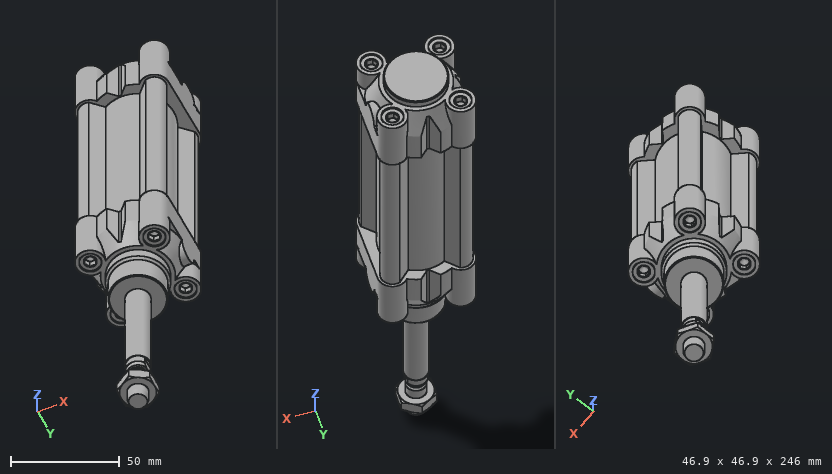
import cadquery as cq
import math


FRONT_COLLAR_END_Z = 79.7
FRONT_CAP_Z = 98.0
CAP_HEIGHT = 27.0
BARREL_HEIGHT = 90.3
REAR_DISC_HEIGHT = 3.7
BARREL_Z = FRONT_CAP_Z + CAP_HEIGHT
REAR_CAP_Z = BARREL_Z + BARREL_HEIGHT

POST_OFFSET = 16.35
CAP_POST_RADIUS = 7.1
CAP_HALF_WIDTH = POST_OFFSET + CAP_POST_RADIUS

BARREL_DRUM_DIAMETER = 36.5
BARREL_POST_RADIUS = 5.78
BARREL_ARM_WIDTH = 10.3

CAP_DRUM_RADIUS = CAP_HALF_WIDTH
CAP_END_RADIUS = 17.2
CAP_TAPER_HEIGHT = 11.5
NOTCH_FLOOR_RADIUS = 19.0
NOTCH_FLOOR_WIDTH = 1.2
CAP_EDGE_FILLET = 1.2

PORT_FACE_WIDTH = 2 * POST_OFFSET
PORT_BOSS_RADIUS = 6.5
PORT_BOSS_Y = 4.5

RECESS_DIAMETER = 10.3
RECESS_DEPTH = 1.0
SOCKET_MOUTH_DIAMETER = 6.2
SOCKET_MOUTH_DEPTH = 0.2
SOCKET_CORNER_DIAMETER = 6.0
SOCKET_DEPTH = 3.7
SOCKET_TIP_DEPTH = 1.5

COLLAR_DIAMETER = 30.0
DISC_EDGE_CHAMFER = 0.5
FRONT_COLLAR_HEIGHT = 5.0
FRONT_COLLAR_CHAMFER = 1.2
FRONT_NECK_DIAMETER = 27.5
FRONT_LIP_DIAMETER = 27.3
FRONT_LIP_STEP_Z = 83.5
FRONT_LIP_STEP_HEIGHT = 0.7
FRONT_LIP_CHAMFER = 0.5

ROD_DIAMETER = 12.0
ROD_SHOULDER_Z = 27.8
FLATS_DIAMETER = 11.5
FLATS_WIDTH = 9.8
FLATS_TOP_Z = 26.5
FLATS_END_Z = 21.6
FLATS_CHAMFER = 0.7
FLATS_CHAMFER_HEIGHT = 2.0
RELIEF_DIAMETER = 7.9
THREAD_DIAMETER = 10.0
THREAD_TOP_Z = 20.0
THREAD_TOP_CHAMFER = 1.0
TIP_DIAMETER = 8.5
TIP_CHAMFER_HEIGHT = 3.0

NUT_WIDTH = 17.0
NUT_HEIGHT = 6.2
NUT_Z = 7.1
NUT_CHAMFER_ANGLE = 25

POST_CENTRES = [(sx * POST_OFFSET, sy * POST_OFFSET) for sx in (-1, 1) for sy in (-1, 1)]


def cylinder(diameter, z_start, z_end):
    """Upright cylinder on the Z axis."""
    return cq.Workplane("XY").workplane(offset=z_start).circle(diameter / 2).extrude(z_end - z_start)


def revolved(profile):
    """Solid of revolution about Z from (radius, z) points."""
    return cq.Workplane("XZ").polyline(profile).close().revolve(360, (0, 0, 0), (0, 1, 0))


def make_barrel():
    """Round tube body with four round-ended arms along the diagonals."""
    barrel = cylinder(BARREL_DRUM_DIAMETER, BARREL_Z, REAR_CAP_Z)
    half_width = BARREL_ARM_WIDTH / 2
    post_distance = POST_OFFSET * math.sqrt(2)
    side_length = post_distance + math.sqrt(BARREL_POST_RADIUS**2 - half_width**2)
    arm = (
        cq.Workplane("XY")
        .workplane(offset=BARREL_Z)
        .moveTo(0, -half_width)
        .lineTo(side_length, -half_width)
        .threePointArc((post_distance + BARREL_POST_RADIUS, 0), (side_length, half_width))
        .lineTo(0, half_width)
        .close()
        .extrude(BARREL_HEIGHT)
    )
    for angle in (45, 135, 225, 315):
        barrel = barrel.union(arm.rotate((0, 0, 0), (0, 0, 1), angle))
    return barrel


def make_cap_drum():
    """Drum that tapers to the outer end, rounded where the taper starts."""
    taper_z = CAP_HEIGHT - CAP_TAPER_HEIGHT
    drum = revolved([
        (0, 0),
        (CAP_DRUM_RADIUS, 0),
        (CAP_DRUM_RADIUS, taper_z),
        (CAP_END_RADIUS, CAP_HEIGHT),
        (0, CAP_HEIGHT),
    ])
    taper_edge = drum.edges(cq.selectors.RadiusNthSelector(-1)).edges(">Z")
    return taper_edge.fillet(CAP_EDGE_FILLET)


def make_notch(angle):
    """Cutter for a 90 degree V notch with a narrow flat floor, on the side at this angle."""
    floor_half = NOTCH_FLOOR_WIDTH / 2
    mouth_half = floor_half + CAP_DRUM_RADIUS - NOTCH_FLOOR_RADIUS
    return (
        cq.Workplane("XY")
        .polyline([
            (NOTCH_FLOOR_RADIUS, -floor_half),
            (CAP_DRUM_RADIUS, -mouth_half),
            (CAP_DRUM_RADIUS, mouth_half),
            (NOTCH_FLOOR_RADIUS, floor_half),
        ])
        .close()
        .extrude(CAP_HEIGHT)
        .rotate((0, 0, 0), (0, 0, 1), angle)
    )


def make_port_face():
    """Flat +X face below the taper, with a round boss that rises into the taper."""
    face_height = CAP_HEIGHT - CAP_TAPER_HEIGHT
    face = (
        cq.Workplane("XY")
        .rect(CAP_HALF_WIDTH, PORT_FACE_WIDTH)
        .extrude(face_height)
        .translate((CAP_HALF_WIDTH / 2, 0, 0))
    )
    boss = (
        cq.Workplane("YZ")
        .center(PORT_BOSS_Y, face_height)
        .circle(PORT_BOSS_RADIUS)
        .extrude(CAP_HALF_WIDTH)
    )
    return face.union(boss)


def make_screw_recess():
    """Cutter for a round recess with a hexagon socket in its floor, opening at Z = 0."""
    socket_flat_radius = SOCKET_CORNER_DIAMETER / 2 * math.cos(math.pi / 6)
    socket_floor_z = -RECESS_DEPTH - SOCKET_DEPTH
    recess = revolved([
        (0, 0),
        (RECESS_DIAMETER / 2, 0),
        (RECESS_DIAMETER / 2, -RECESS_DEPTH),
        (SOCKET_MOUTH_DIAMETER / 2, -RECESS_DEPTH),
        (socket_flat_radius, -RECESS_DEPTH - SOCKET_MOUTH_DEPTH),
        (0, -RECESS_DEPTH - SOCKET_MOUTH_DEPTH),
    ])
    socket = (
        cq.Workplane("XY")
        .workplane(offset=socket_floor_z)
        .polygon(6, SOCKET_CORNER_DIAMETER)
        .extrude(SOCKET_DEPTH)
    )
    tip = revolved([
        (0, socket_floor_z),
        (socket_flat_radius, socket_floor_z),
        (0, socket_floor_z - SOCKET_TIP_DEPTH),
    ])
    return recess.union(socket).union(tip)


def make_end_cap():
    """Cap with its inner face at Z = 0 and its outer end at Z = CAP_HEIGHT."""
    cap = make_cap_drum()
    for angle in (90, 180, 270):
        cap = cap.cut(make_notch(angle))
    cap = cap.union(make_port_face())
    posts = cq.Workplane("XY").pushPoints(POST_CENTRES).circle(CAP_POST_RADIUS).extrude(CAP_HEIGHT)
    cap = cap.union(posts)
    recess = make_screw_recess()
    for x, y in POST_CENTRES:
        cap = cap.cut(recess.translate((x, y, CAP_HEIGHT)))
    return cap


def make_rear_cap():
    """End cap with a low round disc on its outer end."""
    top_z = CAP_HEIGHT + REAR_DISC_HEIGHT
    disc = cylinder(COLLAR_DIAMETER, CAP_HEIGHT, top_z).faces(">Z").chamfer(DISC_EDGE_CHAMFER)
    return make_end_cap().union(disc).translate((0, 0, REAR_CAP_Z))


def make_front_cap():
    """Mirrored end cap with the stepped rod collar and the rod hole."""
    cap = make_end_cap().mirror("XY").translate((0, 0, BARREL_Z))
    collar_z = FRONT_CAP_Z - FRONT_COLLAR_HEIGHT
    collar_radius = COLLAR_DIAMETER / 2
    neck_radius = FRONT_NECK_DIAMETER / 2
    lip_radius = FRONT_LIP_DIAMETER / 2
    collar = revolved([
        (0, FRONT_CAP_Z),
        (collar_radius, FRONT_CAP_Z),
        (collar_radius, collar_z),
        (neck_radius, collar_z - FRONT_COLLAR_CHAMFER),
        (neck_radius, FRONT_LIP_STEP_Z),
        (lip_radius, FRONT_LIP_STEP_Z - FRONT_LIP_STEP_HEIGHT),
        (lip_radius, FRONT_COLLAR_END_Z + FRONT_LIP_CHAMFER),
        (lip_radius - FRONT_LIP_CHAMFER, FRONT_COLLAR_END_Z),
        (0, FRONT_COLLAR_END_Z),
    ])
    rod_hole = cylinder(ROD_DIAMETER, FRONT_COLLAR_END_Z, BARREL_Z)
    return cap.union(collar).cut(rod_hole)


def make_rod():
    """Piston rod with a wrench-flat section, a thread relief and a plain thread end."""
    rod_radius = ROD_DIAMETER / 2
    flats_radius = FLATS_DIAMETER / 2
    relief_radius = RELIEF_DIAMETER / 2
    thread_radius = THREAD_DIAMETER / 2
    rod = revolved([
        (0, 0),
        (TIP_DIAMETER / 2, 0),
        (thread_radius, TIP_CHAMFER_HEIGHT),
        (thread_radius, THREAD_TOP_Z - THREAD_TOP_CHAMFER),
        (thread_radius - THREAD_TOP_CHAMFER, THREAD_TOP_Z),
        (relief_radius, THREAD_TOP_Z),
        (relief_radius, FLATS_END_Z),
        (flats_radius - FLATS_CHAMFER, FLATS_END_Z),
        (flats_radius, FLATS_END_Z + FLATS_CHAMFER_HEIGHT),
        (flats_radius, ROD_SHOULDER_Z),
        (rod_radius, ROD_SHOULDER_Z),
        (rod_radius, BARREL_Z),
        (0, BARREL_Z),
    ])
    flat_x = FLATS_WIDTH / 2
    runout = rod_radius - flat_x
    flat_cut = (
        cq.Workplane("XZ")
        .polyline([
            (flat_x, FLATS_END_Z),
            (flat_x, FLATS_TOP_Z),
            (flat_x + runout, FLATS_TOP_Z + runout),
            (flat_x + runout, FLATS_END_Z),
        ])
        .close()
        .extrude(rod_radius, both=True)
    )
    rod = rod.cut(flat_cut).cut(flat_cut.mirror("YZ"))
    return rod


def make_nut():
    """Hexagon nut with chamfered corners on both faces, flats facing +X and -X."""
    corner_radius = NUT_WIDTH / math.sqrt(3)
    flat_radius = NUT_WIDTH / 2
    chamfer_height = (corner_radius - flat_radius) * math.tan(math.radians(NUT_CHAMFER_ANGLE))
    top_z = NUT_Z + NUT_HEIGHT
    hexagon = (
        cq.Workplane("XY")
        .workplane(offset=NUT_Z)
        .polygon(6, 2 * corner_radius)
        .circle(THREAD_DIAMETER / 2)
        .extrude(NUT_HEIGHT)
        .rotate((0, 0, 0), (0, 0, 1), 30)
    )
    envelope = revolved([
        (0, NUT_Z),
        (flat_radius, NUT_Z),
        (corner_radius, NUT_Z + chamfer_height),
        (corner_radius, top_z - chamfer_height),
        (flat_radius, top_z),
        (0, top_z),
    ])
    return hexagon.intersect(envelope)


barrel = make_barrel()
front_cap = make_front_cap()
rear_cap = make_rear_cap()
rod = make_rod()
nut = make_nut()

result = cq.Compound.makeCompound([
    barrel.val(),
    front_cap.val(),
    rear_cap.val(),
    rod.val(),
    nut.val(),
])